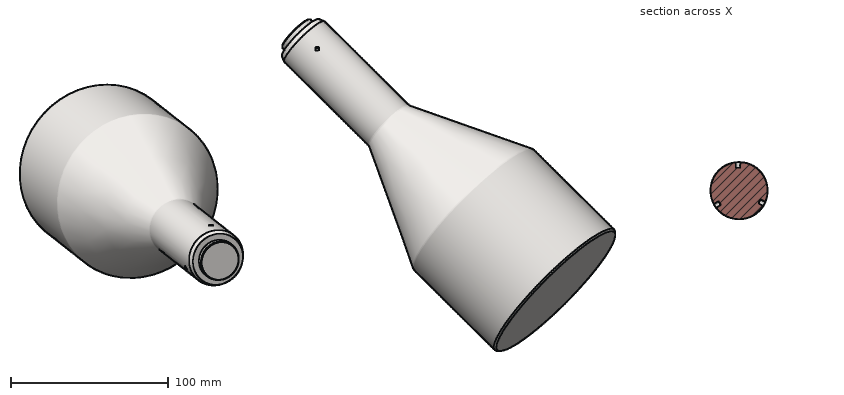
import cadquery as cq
import math

total_length = 237.0
head_length = 74.9
cone_end = 151.9
barrel_end = 229.0
shoulder_end = 232.6

head_radius = 54.0
barrel_radius = 18.2
shoulder_radius = 16.8
spigot_radius = 12.8

head_chamfer = 1.2
spigot_chamfer = 0.5
blend_radius = 2.4

screw_count = 3
screw_station = 216.8
screw_diameter = 2.5
screw_depth = 3.5
screw_start_angle = 2.5


def turned_body():
    """Head, cone, barrel, shoulder and spigot revolved about the X axis."""
    profile = (
        cq.Workplane("XY")
        .moveTo(0, 0)
        .lineTo(0, head_radius - head_chamfer)
        .lineTo(head_chamfer, head_radius)
        .lineTo(head_length, head_radius)
        .lineTo(cone_end, barrel_radius)
        .lineTo(barrel_end, barrel_radius)
        .lineTo(shoulder_end, shoulder_radius)
        .lineTo(shoulder_end, spigot_radius)
        .lineTo(total_length - spigot_chamfer, spigot_radius)
        .lineTo(total_length, spigot_radius - spigot_chamfer)
        .lineTo(total_length, 0)
        .close()
    )
    return profile.revolve(360, (0, 0, 0), (1, 0, 0))


def blend_cone_ends(body):
    """Round the circular edges at both ends of the cone."""
    for station, radius in ((head_length, head_radius), (cone_end, barrel_radius)):
        edge_zone = cq.selectors.BoxSelector(
            (station - blend_radius, -radius, -radius),
            (station + blend_radius, radius, radius),
            boundingbox=False,
        )
        body = body.edges("%CIRCLE").edges(edge_zone).fillet(blend_radius)
    return body


def screw_hole(angle):
    """Blind radial hole cutter at the given angle from +Z toward +Y."""
    direction = cq.Vector(0, math.sin(math.radians(angle)), math.cos(math.radians(angle)))
    floor = cq.Vector(screw_station, 0, 0) + direction * (barrel_radius - screw_depth)
    cutter_length = 2 * screw_depth
    return cq.Solid.makeCylinder(screw_diameter / 2, cutter_length, floor, direction)


result = blend_cone_ends(turned_body())
for index in range(screw_count):
    result = result.cut(cq.Workplane(screw_hole(screw_start_angle + index * 360 / screw_count)))